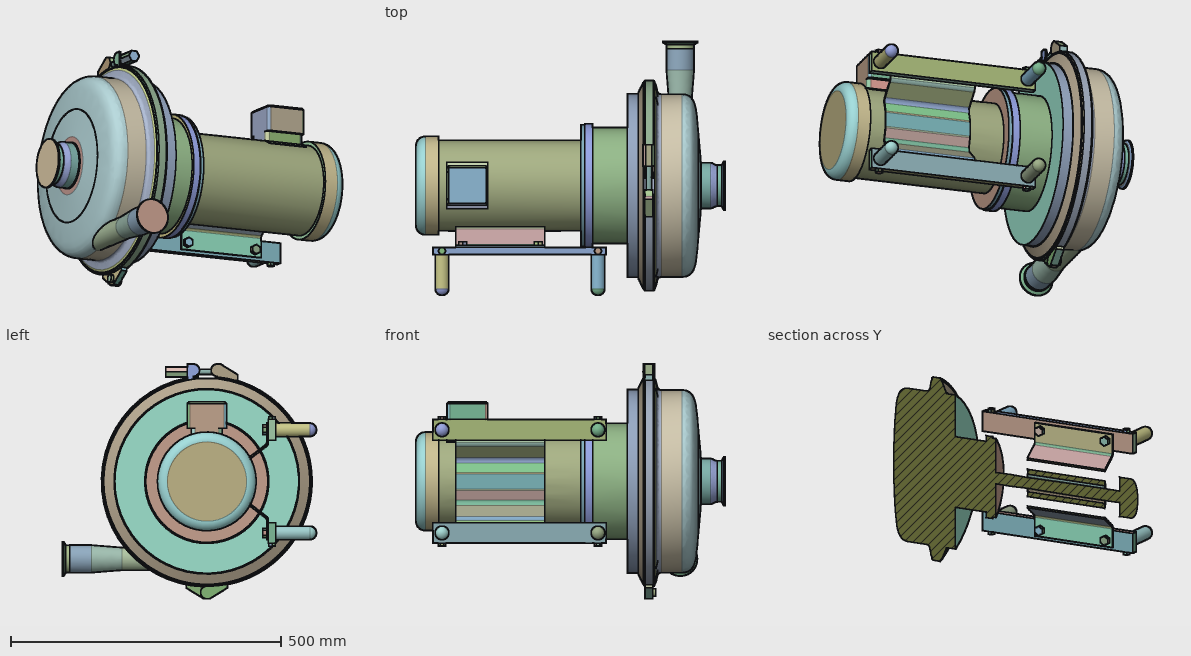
import cadquery as cq
import math

overall_length = 572.26
overall_height = 434.12

cap_radius = 182.63 / 2
cap_length = 42.4
cap_edge_radius = 18.0
motor_radius = 167.89 / 2
flange_start = 305.4
flange_step = 312.6
flange_end = 326.8
flange_lip_radius = 225.55 / 2
flange_radius = 114.8

adapter_radius = 215 / 2
plate_start = 391.5
plate_end = 411.0
plate_radius = 169.9
cone_start_radius = 171.5

rim_radius = 190.6
rim_start = 420.4
rim_end = 444.4
rim_front_radius = 185.5
rim_root_slope = 0.2
band_radius = 194.8
band_start = 421.9
band_end = 441.9
band_chamfer = 2.5
band_overlap = 1.0
top_gap = 31.5
bottom_gap = 5.0

casing_radius = 169.3
casing_start = 453.7
shoulder_start = 491.5
shoulder_radius = 26.3
dish_middle = 521.8
dish_middle_radius = 105.0
dish_top_radius = 54.0
dish_slope = 0.09

nozzle_start = 526.6
nozzle_radius = 84.97 / 2
nozzle_collar_radius = 43.4
nozzle_collar_end = 528.2
nozzle_taper_start = 544.9
nozzle_taper_end = 556.6
nozzle_end_radius = 76.6 / 2
nozzle_end = 557.8
ferrule_neck_radius = 76.33 / 2
ferrule_neck_end = 565.5
ferrule_radius = 90.91 / 2
ferrule_rim = 2.8
ferrule_slope = 2.5

pipe_x = 489.0
pipe_z = -143.3
pipe_end = 266.9
pipe_radius = 51.6 / 2
pipe_weld_y = 253.2
pipe_weld_radius = 50.93 / 2
pipe_taper_start = 213.9
pipe_taper_end = 157.0
pipe_root_radius = 42.6 / 2
pipe_flange_radius = 63.88 / 2
pipe_flange_rim = 2.5
pipe_flange_slope = 4.0

box_start = 57.5
box_length = 76.0
box_width = 73.0
box_bottom = 98.5
box_top = 147.0
box_corner_radius = 5.0
box_lid_chamfer = 3.5
neck_width = 57.0
neck_corner_radius = 6.5
pad_width = 86.0
pad_thickness = 0.8

rail_start = 31.8
rail_length = 320.2
rail_height = 38.1
rail_thickness = 13.5
rail_z = 95.3
rail_face_y = -114.0
pin_radius = 25.4 / 2
pin_end_y = -203.0
pin_positions = (48.6, 336.9)
set_screw_corners = 14.0
set_screw_height = 5.5

cradle_start = 73.6
cradle_length = 165.0
sheet = 3.4
motor_bend_radius = 9.0
foot_bend_radius = 6.0
cradle_half = [(-87.0, 15.2), (-78.3, 40.2), (rail_face_y, 67.5), (rail_face_y, 108.4)]
foot_bolt_positions = (87.0, 226.5)
foot_bolt_corners = 18.0
foot_bolt_height = 7.3

clamp_x = 431.0
lug_width = 15.0
nose_radius = 11.6
nose_height = overall_height / 2 - nose_radius
lug_reach = 38.3
lug_top_flat = 6.0
lug_shoulder_height = 197.0
lug_foot_height = 186.5
top_lug_y = -19.4
fork_y = 24.9
fork_back_y = 36.0
fork_thickness = 3.2
hinge_back_lug_offset = 3.5
hinge_pin_radius = 7.3
hinge_pin_length = 5.5
rod_radius = 10 / 2
rod_z = 202.3
nut_flats = 18.8
nut_end_y = 76.0


def cylinder_x(start, end, radius):
    return cq.Workplane("YZ").workplane(offset=start).circle(radius).extrude(end - start)


def hexagon_corners(flats):
    return flats / math.cos(math.pi / 6)


def motor():
    cap = cylinder_x(0, cap_length, cap_radius).faces("<X").edges().fillet(cap_edge_radius)
    body = cylinder_x(cap_length, flange_start, motor_radius)
    lip = cylinder_x(flange_start, flange_step, flange_lip_radius)
    flange = cylinder_x(flange_step, flange_end, flange_radius)
    return cap.union(body).union(lip).union(flange)


def pump_body():
    """Adapter, rear plate, rim, casing and suction nozzle as one turned profile."""
    half_turn = shoulder_radius * math.sin(math.pi / 4)
    shoulder_end = shoulder_start + shoulder_radius
    shoulder_center_radius = casing_radius - shoulder_radius
    taper_middle = (nozzle_taper_start + nozzle_taper_end) / 2
    taper_middle_radius = (nozzle_radius + nozzle_end_radius) / 2
    profile = (
        cq.Workplane("XY")
        .moveTo(flange_end, 0)
        .lineTo(flange_end, adapter_radius)
        .lineTo(plate_start, adapter_radius)
        .lineTo(plate_start, plate_radius)
        .lineTo(plate_end, plate_radius)
        .lineTo(plate_end, cone_start_radius)
        .lineTo(rim_start, rim_radius)
        .lineTo(band_end, rim_radius)
        .lineTo(rim_end, rim_front_radius)
        .spline(
            [(casing_start, casing_radius)],
            tangents=[(rim_root_slope, -1), (1, 0)],
            includeCurrent=True,
        )
        .lineTo(shoulder_start, casing_radius)
        .spline(
            [
                (shoulder_start + half_turn, shoulder_center_radius + half_turn),
                (shoulder_end, shoulder_center_radius),
                (dish_middle, dish_middle_radius),
                (nozzle_start, dish_top_radius),
            ],
            tangents=[(1, 0), (dish_slope, -1)],
            includeCurrent=True,
        )
        .lineTo(nozzle_start, nozzle_collar_radius)
        .lineTo(nozzle_collar_end, nozzle_collar_radius)
        .lineTo(nozzle_collar_end, nozzle_radius)
        .lineTo(nozzle_taper_start, nozzle_radius)
        .spline(
            [(taper_middle, taper_middle_radius), (nozzle_taper_end, nozzle_end_radius)],
            tangents=[(1, 0), (1, 0)],
            includeCurrent=True,
        )
        .lineTo(nozzle_end, nozzle_end_radius)
        .lineTo(nozzle_end, ferrule_neck_radius)
        .lineTo(ferrule_neck_end, ferrule_neck_radius)
        .lineTo(overall_length - ferrule_rim - ferrule_slope, ferrule_neck_radius + ferrule_slope)
        .lineTo(overall_length - ferrule_rim, ferrule_radius)
        .lineTo(overall_length, ferrule_radius)
        .lineTo(overall_length, 0)
        .close()
    )
    return profile.revolve(360, (0, 0, 0), (1, 0, 0))


def discharge_pipe():
    flange_base = pipe_end - pipe_flange_rim - pipe_flange_slope
    profile = (
        cq.Workplane("XY", origin=(pipe_x, 0, pipe_z))
        .lineTo(pipe_root_radius, 0)
        .lineTo(pipe_root_radius, pipe_taper_end)
        .lineTo(pipe_radius, pipe_taper_start)
        .lineTo(pipe_radius, pipe_weld_y)
        .lineTo(pipe_weld_radius, pipe_weld_y)
        .lineTo(pipe_weld_radius, flange_base)
        .lineTo(pipe_flange_radius, pipe_end - pipe_flange_rim)
        .lineTo(pipe_flange_radius, pipe_end)
        .lineTo(0, pipe_end)
        .close()
    )
    return profile.revolve(360, (0, 0, 0), (0, 1, 0))


def terminal_box():
    middle = (box_start + box_length / 2, 0)
    box = (
        cq.Workplane("XY", origin=(*middle, box_bottom))
        .rect(box_length, box_width)
        .extrude(box_top - box_bottom)
        .edges("|Z")
        .fillet(box_corner_radius)
        .faces(">Z")
        .edges()
        .chamfer(box_lid_chamfer)
    )
    neck = (
        cq.Workplane("XY", origin=(*middle, 0))
        .rect(box_length, neck_width)
        .extrude(box_bottom)
        .edges("|Z")
        .fillet(neck_corner_radius)
    )
    pad_outline = cq.Workplane("XY", origin=(*middle, 0)).rect(box_length, pad_width).extrude(box_top)
    pad = cylinder_x(box_start, box_start + box_length, motor_radius + pad_thickness)
    return box.union(neck).union(pad.intersect(pad_outline))


def mitred_offset(points, distance):
    """Points of an open polyline moved to its left side by a distance."""
    headings = [math.atan2(b[1] - a[1], b[0] - a[0]) for a, b in zip(points, points[1:])]
    before = [headings[0]] + headings
    after = headings + [headings[-1]]
    moved = []
    for (y, z), first, second in zip(points, before, after):
        normal = (first + second) / 2 + math.pi / 2
        reach = distance / math.cos((second - first) / 2)
        moved.append((y + reach * math.cos(normal), z + reach * math.sin(normal)))
    return moved


def cradle():
    lower_half = [(y, -z) for y, z in reversed(cradle_half)]
    outer = lower_half + cradle_half
    inner = mitred_offset(outer, -sheet)
    foot_end = cradle_half[-1][1] - sheet
    foot_inner_y = rail_face_y + sheet
    half_sheet = sheet / 2

    def bends(start_y, end_y):
        return cq.selectors.BoxSelector((0, start_y, -foot_end), (overall_length, end_y, foot_end))

    return (
        cq.Workplane("YZ", origin=(cradle_start, 0, 0))
        .polyline(outer + inner[::-1])
        .close()
        .extrude(cradle_length)
        .edges("|X")
        .edges(bends(foot_inner_y + sheet, 0))
        .fillet(motor_bend_radius)
        .edges("|X")
        .edges(bends(foot_inner_y - half_sheet, foot_inner_y + half_sheet))
        .fillet(foot_bend_radius)
        .edges("|X")
        .edges(bends(rail_face_y - half_sheet, rail_face_y + half_sheet))
        .fillet(foot_bend_radius + sheet)
    )


def foot_pin():
    dome_center_y = pin_end_y + pin_radius
    dome_middle = pin_radius * math.sin(math.pi / 4)
    profile = (
        cq.Workplane("XY")
        .moveTo(0, rail_face_y)
        .lineTo(pin_radius, rail_face_y)
        .lineTo(pin_radius, dome_center_y)
        .threePointArc((dome_middle, dome_center_y - dome_middle), (0, pin_end_y))
        .close()
    )
    return profile.revolve(360, (0, 0, 0), (0, 1, 0))


def foot(side):
    """Rail with its pins, set screws and cradle bolts; side is +1 above the axis, -1 below."""
    middle_z = side * rail_z
    rail = cq.Workplane("XY").box(rail_length, rail_thickness, rail_height, centered=(False, False, True))
    assembly = rail.translate((rail_start, rail_face_y - rail_thickness, middle_z))
    for x in pin_positions:
        pin = foot_pin().translate((x, 0, middle_z))
        screw = (
            cq.Workplane("XY", origin=(x, rail_face_y - rail_thickness / 2, middle_z))
            .polygon(6, set_screw_corners)
            .extrude(side * (rail_height / 2 + set_screw_height))
        )
        assembly = assembly.union(pin).union(screw)
    for x in foot_bolt_positions:
        bolt = (
            cq.Workplane("XZ", origin=(x, rail_face_y, middle_z))
            .transformed(rotate=(0, 0, 90))
            .polygon(6, foot_bolt_corners)
            .extrude(-sheet - foot_bolt_height)
        )
        assembly = assembly.union(bolt)
    return assembly


def clamp_band():
    band = (
        cylinder_x(band_start, band_end, band_radius)
        .edges()
        .chamfer(band_chamfer)
        .cut(cylinder_x(band_start, band_end, rim_radius - band_overlap))
    )
    band_width = band_end - band_start
    gap_depth = 2 * (band_radius - rim_radius)
    for width, side in ((top_gap, 1), (bottom_gap, -1)):
        gap = cq.Workplane("XY").box(band_width, width, gap_depth)
        band = band.cut(gap.translate((band_start + band_width / 2, 0, side * band_radius)))
    return band


def lug(nose_y, start_x, width):
    """Clamp lug above the axis: a round nose with a shoulder sloping toward -Y."""
    nose_top = nose_height + nose_radius
    nose_bottom = nose_height - nose_radius
    return (
        cq.Workplane("YZ", origin=(start_x, nose_y, 0))
        .moveTo(0, nose_bottom)
        .threePointArc((nose_radius, nose_height), (0, nose_top))
        .lineTo(-lug_top_flat, nose_top)
        .lineTo(-lug_reach, lug_shoulder_height)
        .lineTo(-lug_reach, lug_foot_height)
        .lineTo(0, lug_foot_height)
        .close()
        .extrude(width)
    )


def fork_plate(start_x):
    nose_top = nose_height + nose_radius
    return (
        cq.Workplane("YZ", origin=(start_x, 0, 0))
        .moveTo(fork_back_y, lug_foot_height)
        .lineTo(fork_back_y, nose_top)
        .lineTo(fork_y, nose_top)
        .threePointArc((fork_y - nose_radius, nose_height), (fork_y, nose_height - nose_radius))
        .lineTo(fork_y, lug_foot_height)
        .close()
        .extrude(fork_thickness)
    )


def clamp_closure():
    """Forked lug, rod, long nut and plain lug on top of the band."""
    lug_start = clamp_x - lug_width / 2
    nut = (
        cq.Workplane("XZ", origin=(clamp_x, fork_back_y, rod_z))
        .polygon(6, hexagon_corners(nut_flats))
        .extrude(fork_back_y - nut_end_y)
    )
    rod = (
        cq.Workplane("XZ", origin=(clamp_x, top_lug_y, rod_z))
        .circle(rod_radius)
        .extrude(top_lug_y - nut_end_y)
    )
    closure = lug(top_lug_y, lug_start, lug_width).union(nut).union(rod)
    for start_x in (lug_start - fork_thickness, lug_start + lug_width):
        closure = closure.union(fork_plate(start_x))
    return closure


def clamp_hinge():
    """Two mirrored lugs that overlap at the bottom of the band, with a pin head."""
    lug_start = clamp_x - lug_width / 2
    front_lug = lug(0, lug_start, lug_width).mirror("XY")
    back_start = lug_start + hinge_back_lug_offset
    back_lug = lug(0, back_start, lug_width - hinge_back_lug_offset).mirror("XY").mirror("XZ")
    pin_head = (
        cq.Workplane("YZ", origin=(lug_start + lug_width, 0, -nose_height))
        .circle(hinge_pin_radius)
        .extrude(hinge_pin_length)
    )
    return front_lug.union(back_lug).union(pin_head)


result = motor().union(pump_body())
for piece in (
    discharge_pipe(),
    terminal_box(),
    cradle(),
    foot(1),
    foot(-1),
    clamp_band(),
    clamp_closure(),
    clamp_hinge(),
):
    result = result.union(piece)